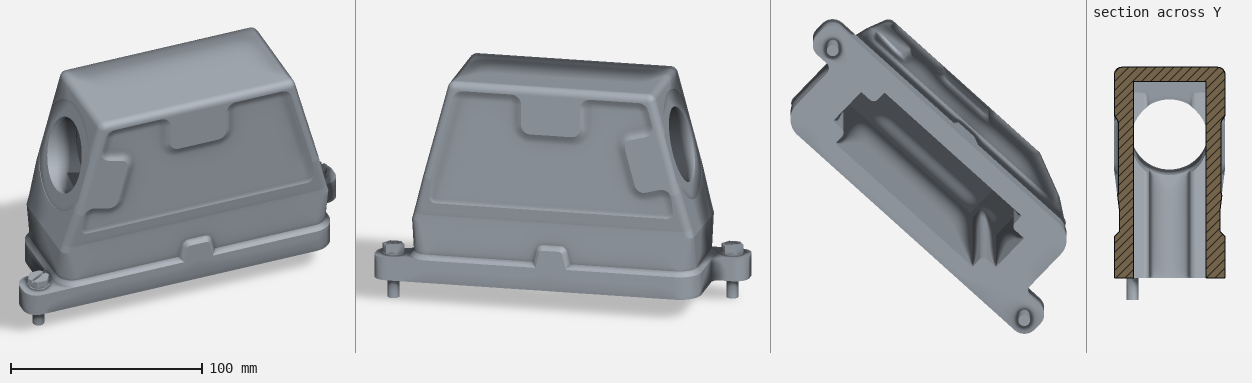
import cadquery as cq
import math

flange_half_x = 29.0
flange_half_y = 78.1
flange_corner_radius = 11.5
lug_height = 12.3
lug_width = 19.2
lug_end_y = 96.0
lug_corner_radius = 7.5
lug_root_radius = 3.8
flange_step = 2.5
flange_top_z = lug_height + flange_step

wall_half_x = flange_half_x - flange_step
wall_half_y = flange_half_y - flange_step
top_z = 110.4
end_slope_z = 33.0
end_slope_angle = 15.0
flare_start_z = 36.5
flare_end_z = 56.6
edge_radius = 4.0
slope = math.tan(math.radians(end_slope_angle))

entry_z = 76.2
entry_radius = 20.2
spot_face_radius = 29.4
spot_face_depth = 0.3

end_wall_thickness = 9.2
roof_thickness = 7.7
cavity_half_x = 18.8
pad_face_y = 49.0
groove_half_x = 10.8
groove_edge_radius = 2.9
groove_bend_z = 63.0

recess_depth = 2.1
recess_bottom_z = 46.0
recess_top_z = 100.8
recess_floor_half_y = 61.8
recess_wall_angle = 35.0
recess_floor_fillet = 6.1
recess_corner_margin = 0.4
tab_corner_radius = 10.0
top_tab_half_width = 21.1
top_tab_length = 21.1
side_tab_half_width = 20.0
side_tab_length = 17.7
side_tab_z = 73.5

tongue_top_z = 24.4
tongue_top_half_width = 7.7
tongue_base_half_width = 10.2
tongue_corner_radius = 4.2

screw_x = flange_half_x - lug_width / 2
screw_y = 86.4
shank_radius = 3.0
shank_length = 11.5
washer_radius = 5.8
washer_height = 1.0
head_corner_radius = 5.85
head_top_z = 17.5
slot_width = 1.5
slot_depth = 1.2
slot_angle = -60.0


def end_wall_y(z):
    """Half length of the hood at a height on the sloped end walls."""
    return wall_half_y - (z - end_slope_z) * slope


def prism_along_x(points, half_length):
    return cq.Workplane("YZ").polyline(points).close().extrude(half_length, both=True)


def prism_along_y(points, half_length):
    return cq.Workplane("XZ").polyline(points).close().extrude(half_length, both=True)


def mirrored(points):
    """Close a half outline by its mirror image about the vertical axis."""
    return points + [(-across, up) for across, up in reversed(points)]


def rounded_rectangle(half_x, half_y, radius):
    return cq.Sketch().rect(2 * half_x, 2 * half_y).vertices().fillet(radius)


def make_flange():
    plate = cq.Workplane("XY").placeSketch(
        rounded_rectangle(flange_half_x, flange_half_y, flange_corner_radius)
    ).extrude(flange_top_z)
    plate = plate.faces(">Z").edges().chamfer(flange_step)
    for turn in (0, 180):
        plate = plate.union(make_lug().rotate((0, 0, 0), (0, 0, 1), turn))
    return plate


def make_lug():
    inner_x = flange_half_x - lug_width
    root_y = -flange_half_y
    lug = (
        cq.Workplane("XY")
        .moveTo(flange_half_x, 0)
        .lineTo(flange_half_x, -lug_end_y + lug_corner_radius)
        .radiusArc((flange_half_x - lug_corner_radius, -lug_end_y), lug_corner_radius)
        .lineTo(inner_x + lug_corner_radius, -lug_end_y)
        .radiusArc((inner_x, -lug_end_y + lug_corner_radius), lug_corner_radius)
        .lineTo(inner_x, root_y - lug_root_radius)
        .radiusArc((inner_x - lug_root_radius, root_y), -lug_root_radius)
        .lineTo(inner_x - lug_root_radius, 0)
        .close()
        .extrude(lug_height)
    )
    return lug


def make_hood():
    lower = cq.Workplane("XY").placeSketch(
        rounded_rectangle(wall_half_x, wall_half_y, flange_corner_radius - flange_step).moved(
            cq.Location(cq.Vector(0, 0, flange_top_z))
        ),
        rounded_rectangle(wall_half_x, wall_half_y, edge_radius).moved(
            cq.Location(cq.Vector(0, 0, end_slope_z))
        ),
    ).loft(ruled=True)

    side_outline = mirrored([(wall_half_y, end_slope_z), (end_wall_y(top_z), top_z)])
    end_outline = mirrored(
        [
            (wall_half_x, end_slope_z),
            (wall_half_x, flare_start_z),
            (flange_half_x, flare_end_z),
            (flange_half_x, top_z),
        ]
    )
    upper = prism_along_x(side_outline, flange_half_x).intersect(prism_along_y(end_outline, wall_half_y))
    corner_edges = upper.edges("not(#Z or |Y)")
    upper = corner_edges.add(upper.faces(">Z").edges()).fillet(edge_radius)
    return lower.union(upper)


def make_cavity():
    wall_y = end_wall_thickness / math.cos(math.radians(end_slope_angle))
    roof_z = top_z - roof_thickness
    groove_outline = mirrored(
        [
            (end_wall_y(groove_bend_z) - wall_y, 0),
            (end_wall_y(groove_bend_z) - wall_y, groove_bend_z),
            (end_wall_y(roof_z) - wall_y, roof_z),
        ]
    )
    envelope = prism_along_x(groove_outline, cavity_half_x)
    plan = cq.Workplane("XY").rect(2 * cavity_half_x, 2 * pad_face_y).extrude(roof_z)
    plan = plan.union(cq.Workplane("XY").rect(2 * groove_half_x, 2 * wall_half_y).extrude(roof_z))
    inside_walls = (cavity_half_x + groove_half_x) / 2
    pad_edges = cq.selectors.BoxSelector(
        (-inside_walls, -wall_half_y, 0), (inside_walls, wall_half_y, roof_z)
    )
    plan = plan.edges("|Z").edges(pad_edges)
    plan = plan.fillet(groove_edge_radius)
    return envelope.intersect(plan)


def make_entry():
    """Spot face and bore in the sloped end wall at -Y; the bore ends flush with the pad faces."""
    tilt = math.radians(end_slope_angle)
    face = cq.Plane(
        origin=(0, -end_wall_y(entry_z), entry_z),
        xDir=(1, 0, 0),
        normal=(0, -math.cos(tilt), math.sin(tilt)),
    )
    bore = cq.Workplane(face).circle(entry_radius).extrude(-wall_half_y)
    pad_plane = cq.Workplane("XZ", origin=(0, -pad_face_y, 0))
    end_wall_zone = pad_plane.rect(2 * top_z, 2 * top_z).extrude(wall_half_y)
    bore = bore.intersect(end_wall_zone)
    spot_face = cq.Workplane(face).circle(spot_face_radius).extrude(-spot_face_depth)
    return bore.union(spot_face)


def make_recess():
    """Cutter for the recess in the -X side, widening from its floor outwards."""
    floor_x = flange_half_x - recess_depth
    height = 2 * recess_depth
    wall_offset = recess_floor_fillet * math.tan(math.radians(recess_wall_angle / 2)) + recess_corner_margin

    def edge_y(z):
        return recess_floor_half_y - (z - recess_bottom_z) * slope

    plane = cq.Plane(origin=(-floor_x, 0, 0), xDir=(0, -1, 0), normal=(-1, 0, 0))
    outline = [
        (-edge_y(recess_bottom_z), recess_bottom_z),
        (edge_y(recess_bottom_z), recess_bottom_z),
        (edge_y(recess_top_z), recess_top_z),
        (-edge_y(recess_top_z), recess_top_z),
    ]
    sketch = cq.Sketch().polygon(outline + outline[:1])
    top_tab = cq.Sketch().push([(0, recess_top_z)]).rect(2 * top_tab_half_width, 2 * top_tab_length)
    side_tab = (
        cq.Sketch()
        .push([cq.Location(cq.Vector(edge_y(side_tab_z), side_tab_z), cq.Vector(0, 0, 1), end_slope_angle)])
        .rect(2 * side_tab_length, 2 * side_tab_half_width)
    )
    for tab in (top_tab, side_tab):
        sketch = sketch.face(tab.reset().vertices().fillet(tab_corner_radius).reset(), mode="s")
    sketch = sketch.reset().wires().offset(wall_offset).clean()
    cutter = cq.Workplane(plane).placeSketch(sketch).extrude(height, taper=recess_wall_angle - 90)
    return cutter.faces(">X").edges().fillet(recess_floor_fillet)


def make_tongue():
    """Tongue on the -X side, shrinking outwards at 45 degrees."""
    plane = cq.Plane(origin=(-wall_half_x, 0, 0), xDir=(0, -1, 0), normal=(-1, 0, 0))
    lean = (tongue_base_half_width - tongue_top_half_width) / (tongue_top_z - flange_top_z)
    outline = mirrored(
        [(tongue_base_half_width + lean * lug_height, flange_step), (tongue_top_half_width, tongue_top_z)]
    )
    sketch = cq.Sketch().polygon(outline + outline[:1]).vertices(">Y").fillet(tongue_corner_radius)
    return cq.Workplane(plane).placeSketch(sketch).extrude(flange_step, taper=45)


def make_screw():
    shank = cq.Workplane("XY").workplane(offset=-shank_length).circle(shank_radius)
    screw = shank.extrude(shank_length + lug_height)
    washer = cq.Workplane("XY").workplane(offset=lug_height).circle(washer_radius).extrude(washer_height)
    head_z = lug_height + washer_height
    head = (
        cq.Workplane("XY")
        .workplane(offset=head_z)
        .polygon(6, 2 * head_corner_radius)
        .extrude(head_top_z - head_z)
        .rotate((0, 0, 0), (0, 0, 1), 90)
    )
    slot = (
        cq.Workplane("XY")
        .workplane(offset=head_top_z - slot_depth)
        .rect(3 * head_corner_radius, slot_width)
        .extrude(2 * slot_depth)
        .rotate((0, 0, 0), (0, 0, 1), slot_angle)
    )
    return screw.union(washer).union(head).cut(slot)


result = make_flange().union(make_hood())
tongue = make_tongue()
result = result.union(tongue).union(tongue.mirror("YZ"))
recess = make_recess()
result = result.cut(recess).cut(recess.mirror("YZ"))
result = result.cut(make_cavity()).cut(make_entry())
for side in (1, -1):
    result = result.union(make_screw().translate((side * screw_x, -side * screw_y, 0)))